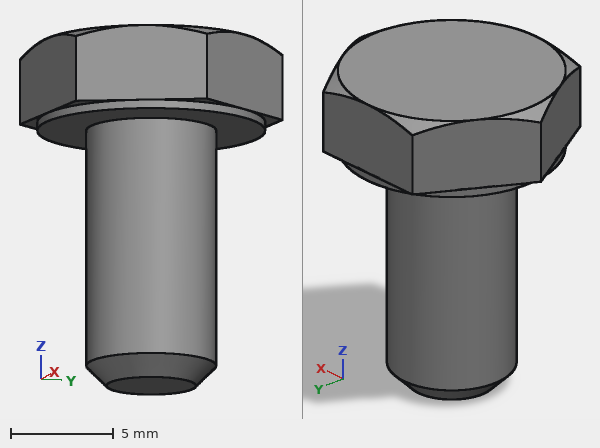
import cadquery as cq
import math

total_length = 16.84
across_flats = 11.13
head_height = 4.15
collar_thickness = 0.42
shank_diameter = 6.35
tip_chamfer = 1.0
crown_angle = math.radians(30)

across_corners = across_flats / math.cos(math.pi / 6)
shank_length = total_length - head_height


def make_head():
    """Hexagonal prism with its upper corners turned off by a cone."""
    hex_height = head_height - collar_thickness
    prism = (
        cq.Workplane("XY")
        .workplane(offset=collar_thickness)
        .polygon(6, across_corners)
        .extrude(hex_height)
    )
    top_radius = across_flats / 2
    base_radius = top_radius + hex_height / math.tan(crown_angle)
    crown = (
        cq.Workplane("XZ")
        .moveTo(0, collar_thickness)
        .lineTo(base_radius, collar_thickness)
        .lineTo(top_radius, head_height)
        .lineTo(0, head_height)
        .close()
        .revolve(360, (0, 0, 0), (0, 1, 0))
    )
    return prism.intersect(crown)


def make_collar():
    """Round washer face under the head."""
    return cq.Workplane("XY").circle(across_flats / 2).extrude(collar_thickness)


def make_shank():
    """Plain shank with a chamfered tip."""
    return (
        cq.Workplane("XY")
        .circle(shank_diameter / 2)
        .extrude(-shank_length)
        .faces("<Z")
        .chamfer(tip_chamfer)
    )


result = make_head().union(make_collar()).union(make_shank())